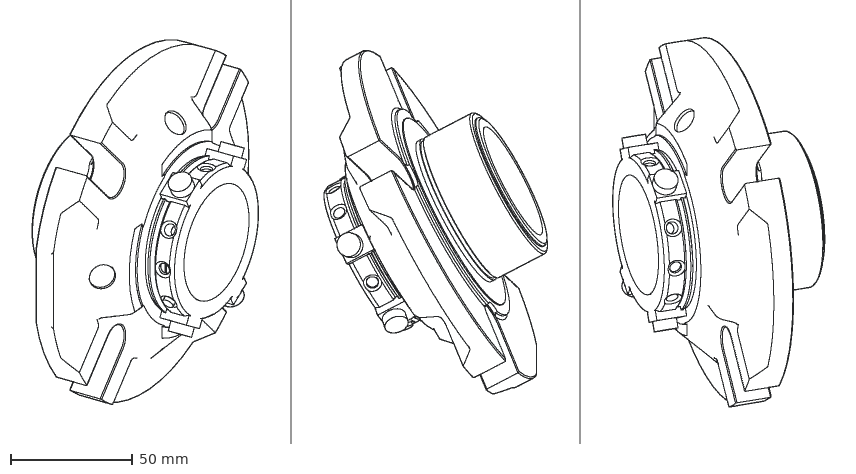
import cadquery as cq
import math


tolerance = 0.05
overcut = 1.0

bore_radius = 50.01 / 2
sleeve_radius = 65.41 / 2
sleeve_left = -29.93
tip_radius = 59.56 / 2
tip_length = 1.4
tip_chamfer = 0.85
sleeve_chamfer = 0.8
groove_radius = 63.58 / 2
groove_left = -5.9
groove_right = -4.15

pilot_step_radius = 86.5 / 2
pilot_step_height = 2.3
pilot_radius = 47.7
pilot_height = 1.8
pilot_flare = 1.4
pilot_flare_height = 0.8

flange_radius = 152.15 / 2
flange_flat = 150.27 - flange_radius
flange_thickness = 8.8
rim_chamfer = 0.55
flat_chamfer_height = 0.8
flat_chamfer_depth = 0.2
slot_width = 14.8
slot_center_radius = 52.7
slot_chamfer = 0.5
slot_angles = (45, 135, 225, 315)

pad_top = 15.7
pad_half_width = 18.0
pad_foot_half_width = pad_half_width + pad_top - flange_thickness
pad_corner_fillet = 3.4
pad_foot_fillet = 1.5

cone_radius_at_pad = 55.5
core_radius = 38.9
core_top = 27.7
lobe_half_width = 20.6
lobe_rounding = 3.8
lobe_root_fillet = 1.2
lobe_edge_fillet = 1.2
lobe_step_x = 26.9
lobe_step_radius = 39.5
lobe_tops = {0: 23.7, 90: core_top, 180: core_top, 270: core_top}

port_radius = 11.0 / 2
port_depth = 1.6
ports = ((180, 18.9), (90, 21.4))

seat_radius = 66.62 / 2
seat_right = 29.5
ring_radius = 68.15 / 2
ring_right = 30.4
neck_radius = 56.12 / 2

collar_radius = seat_radius
collar_left = 31.75
collar_right = sleeve_left + 71.28
collar_chamfer = 1.0
collar_end_chamfer = 1.9
collar_center = 36.45

hole_radius = 5.0 / 2
countersink_radius = 7.8 / 2
countersink_depth = 0.9
open_floor = 26.5
screw_floor = 31.2
hole_floors = {
    0: screw_floor,
    30: open_floor,
    90: screw_floor,
    150: open_floor,
    180: screw_floor,
    210: screw_floor,
    270: screw_floor,
    330: open_floor,
}
slotted_screw_angle = 180
raised_screw_angle = 210
raised_screw_top = 34.3
driver_slot_width = 0.8
driver_slot_depth = 0.8

clip_angles = (60, 120, 240, 300)
clip_left = 28.4
clip_width = 11.6
clip_outer_radius = 36.2
clip_inner_radius = 32.0
head_radius = 10.0 / 2
head_top = 40.5


def around_axis(shape, angle):
    """Turn a feature built along +Y about the X axis, +Y towards +Z."""
    return shape.rotate((0, 0, 0), (1, 0, 0), angle)


def revolved(points):
    """Revolve an (X, radius) outline about the X axis."""
    return cq.Workplane("XY").polyline(points).close().revolve(360, (0, 0, 0), (1, 0, 0))


def cylinder(left, right, radius):
    return cq.Workplane("YZ", origin=(left, 0, 0)).circle(radius).extrude(right - left)


def radial_cylinder(x, bottom, top, radius):
    """A cylinder along +Y between two distances from the X axis."""
    return cq.Workplane("ZX", origin=(0, bottom, 0)).center(0, x).circle(radius).extrude(top - bottom)


def cone_radius(x):
    return cone_radius_at_pad + pad_top - x


def make_sleeve():
    shoulder = sleeve_left + tip_length
    return revolved([
        (sleeve_left, 0),
        (sleeve_left, tip_radius - tip_chamfer),
        (sleeve_left + tip_chamfer, tip_radius),
        (shoulder, tip_radius),
        (shoulder, sleeve_radius - sleeve_chamfer),
        (shoulder + sleeve_chamfer, sleeve_radius),
        (groove_left, sleeve_radius),
        (groove_left, groove_radius),
        (groove_right, groove_radius),
        (groove_right, sleeve_radius),
        (0, sleeve_radius),
        (0, 0),
    ])


def make_pilot():
    return revolved([
        (-pilot_step_height, 0),
        (-pilot_step_height, pilot_step_radius),
        (-pilot_height, pilot_step_radius),
        (-pilot_height, pilot_radius),
        (-pilot_flare_height, pilot_radius),
        (0, pilot_radius + pilot_flare),
        (0, 0),
    ])


def make_pad(angle):
    pad = (
        cq.Workplane("ZX")
        .polyline([
            (-pad_foot_half_width, flange_thickness),
            (pad_foot_half_width, flange_thickness),
            (pad_half_width, pad_top),
            (-pad_half_width, pad_top),
        ])
        .close()
        .extrude(flange_radius + overcut)
    )
    return around_axis(pad, angle)


def make_slot(angle):
    half = slot_width / 2
    length = flange_radius - slot_center_radius + overcut

    def slot_outline(x, half_width):
        return (
            cq.Workplane("YZ", origin=(x, slot_center_radius, 0))
            .moveTo(length, -half_width)
            .lineTo(0, -half_width)
            .threePointArc((-half_width, 0), (0, half_width))
            .lineTo(length, half_width)
            .close()
        )

    slot = slot_outline(-pilot_step_height, half).extrude(pilot_step_height + pad_top)
    widest = half + slot_chamfer
    front = slot_outline(0, widest).extrude(slot_chamfer, taper=45)
    back = slot_outline(pad_top, widest).extrude(-slot_chamfer, taper=45)
    return around_axis(slot.union(front).union(back), angle)


def same(first, second):
    return abs(first - second) < tolerance


def end_radii(edge):
    """Distances from the X axis of the two ends of an edge."""
    return [math.hypot(end.y, end.z) for end in (edge.startPoint(), edge.endPoint())]


def is_pad_foot(edge):
    """True where the cone meets the flange; the pad feet continue this edge smoothly."""
    on_flange = same(edge.BoundingBox().xmin, flange_thickness)
    foot_radius = cone_radius(flange_thickness)
    return on_flange and edge.geomType() == "CIRCLE" and all(same(r, foot_radius) for r in end_radii(edge))


def is_lobe_root(edge):
    """True where a lobe or the core rises from the disc, and where a lobe meets the core."""
    if edge.geomType() == "LINE" and same(edge.startPoint().x, edge.endPoint().x):
        return same(edge.startPoint().x, pad_top)
    on_core = all(same(radius, core_radius) for radius in end_radii(edge))
    at_core_top = edge.BoundingBox().xmin > core_top - tolerance
    return on_core and not at_core_top


def make_flange():
    flange = cylinder(0, flange_thickness, flange_radius)
    rim = cylinder(0, pad_top, flange_radius)
    for angle in slot_angles:
        flange = flange.union(make_pad(angle).intersect(rim))
    flat_cut = cq.Workplane("XY").box(2 * pad_top, flange_radius, 2 * flange_radius).translate(
        (0, -flange_flat - flange_radius / 2, 0)
    )
    flange = flange.cut(flat_cut)
    back_edge = flange.edges(cq.selectors.NearestToPointSelector((flange_thickness, -flange_flat, 0)))
    flange = back_edge.chamfer(flat_chamfer_height, flat_chamfer_depth)
    flange = flange.union(gland_cone(pad_top))
    pad_corners = [edge for edge in flange.edges().vals() if edge.geomType() == "PARABOLA"]
    flange = flange.newObject(pad_corners).fillet(pad_corner_fillet)
    pad_feet = [edge for edge in flange.edges().vals() if is_pad_foot(edge)]
    flange = flange.newObject(pad_feet).fillet(pad_foot_fillet)
    flange = flange.faces("<X").edges().chamfer(rim_chamfer)
    return flange.union(make_gland())


def gland_cone(top):
    """The cone around all lobes, from the back of the flange to a given X."""
    return revolved([
        (flange_thickness, 0),
        (flange_thickness, cone_radius(flange_thickness)),
        (top, cone_radius(top)),
        (top, 0),
    ])


def make_gland():
    """The lobes and the disc under them, cut to one common cone, with the round core."""
    gland = cylinder(0, pad_top, flange_radius)
    for angle, top in lobe_tops.items():
        gland = gland.union(make_lobe(angle, top))
    gland = gland.intersect(gland_cone(core_top)).union(cylinder(0, core_top, core_radius))
    lobe_roots = [edge for edge in gland.edges().vals() if is_lobe_root(edge)]
    gland = gland.newObject(lobe_roots).fillet(lobe_root_fillet)
    lobe_edges = [edge for edge in gland.edges().vals() if edge.geomType() == "HYPERBOLA"]
    gland = gland.newObject(lobe_edges).fillet(lobe_edge_fillet)
    raised_face = cylinder(lobe_step_x, core_top, lobe_step_radius)
    return gland.cut(cylinder(lobe_step_x, core_top, flange_radius).cut(raised_face))


def make_lobe(angle, top):
    behind_face = cq.Workplane("XY").box(2 * core_top, 2 * flange_radius, flange_radius).translate(
        (core_top, 0, 0)
    )
    lobe = (
        cq.Workplane("ZX")
        .rect(2 * lobe_half_width, 2 * top)
        .extrude(flange_radius)
        .faces(">X")
        .edges("|Y")
        .fillet(lobe_rounding)
        .intersect(behind_face)
    )
    return around_axis(lobe, angle)


def make_port(angle, x):
    mouth = cq.Plane(origin=(x, cone_radius(x), 0), xDir=(0, 0, 1), normal=(1, 1, 0))
    port = cq.Workplane(mouth).workplane(offset=-port_depth).circle(port_radius).extrude(3 * port_depth)
    return around_axis(port, angle)


def make_collar():
    rings = (
        cylinder(0, seat_right, seat_radius)
        .union(cylinder(seat_right, ring_right, ring_radius))
        .union(cylinder(ring_right, collar_left, neck_radius))
    )
    rim_radius = collar_radius - collar_chamfer
    collar = revolved([
        (collar_left, 0),
        (collar_left, rim_radius),
        (collar_left + collar_chamfer, collar_radius),
        (collar_right - collar_end_chamfer, collar_radius),
        (collar_right, rim_radius),
        (collar_right, 0),
    ]).union(rings)
    for angle, floor in hole_floors.items():
        collar = collar.cut(make_screw_hole(angle, floor))
    raised_screw = radial_cylinder(collar_center, open_floor, raised_screw_top, hole_radius)
    return collar.cut(make_driver_slot()).union(around_axis(raised_screw, raised_screw_angle))


def make_screw_hole(angle, floor):
    hole = radial_cylinder(collar_center, floor, collar_radius + overcut, hole_radius)
    countersink = cq.Solid.makeCone(
        hole_radius,
        countersink_radius,
        countersink_depth,
        pnt=cq.Vector(collar_center, collar_radius - countersink_depth, 0),
        dir=cq.Vector(0, 1, 0),
    )
    return around_axis(hole.union(cq.Workplane(countersink)), angle)


def make_driver_slot():
    slot = cq.Workplane("XY").box(driver_slot_width, 2 * driver_slot_depth, 2 * hole_radius)
    inside_hole = radial_cylinder(collar_center, 0, collar_radius, hole_radius)
    slot = slot.translate((collar_center, screw_floor, 0)).intersect(inside_hole)
    return around_axis(slot, slotted_screw_angle)


def make_clip(angle):
    length = collar_right - clip_left
    height = clip_outer_radius - clip_inner_radius
    block = cq.Workplane("XY").box(length, height, clip_width).translate(
        (clip_left + length / 2, clip_inner_radius + height / 2, 0)
    )
    head = radial_cylinder(collar_right - head_radius, clip_inner_radius, head_top, head_radius)
    return around_axis(block.union(head), angle)


result = make_flange().union(make_pilot())
for slot_angle in slot_angles:
    result = result.cut(make_slot(slot_angle))
for port_angle, port_x in ports:
    result = result.cut(make_port(port_angle, port_x))
result = result.union(make_sleeve()).union(make_collar())
for clip_angle in clip_angles:
    result = result.union(make_clip(clip_angle))
result = result.cut(cylinder(sleeve_left, collar_right, bore_radius))